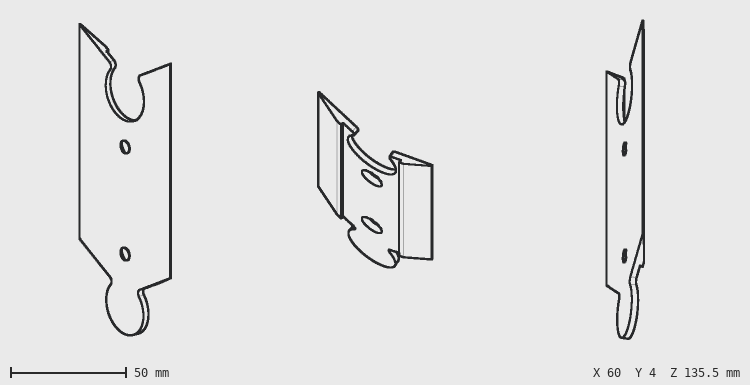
import cadquery as cq
import math

total_height = 135.5
width = 60.0
thickness = 4.0
end_slope = math.radians(30)
side_overshoot = 2.7

tab_radius = 12.3
socket_radius = 12.6
tab_back_radius = 12.5
tab_fillet = 2.2
socket_fillet = 2.3

edge_thickness = 0.5
bevel_width = 12.5
channel_width = 30.6
channel_floor = 2.8

hole_radius = 2.8
hole_spacing = 50.0
hole_land = 0.4
sink_angle = math.radians(90)

draft = math.degrees(math.atan((tab_back_radius - tab_radius) / channel_floor))
half_width = width / 2
end_rise = half_width * math.tan(end_slope)
lower_corner = 35.5
side_length = total_height - lower_corner
tab_center = tab_back_radius
socket_center = tab_center + side_length
hole_middle = tab_center + side_length / 2


def disc(radius, height):
    """Disc centred on X = 0 that spans the plate thickness."""
    return cq.Workplane("XZ").center(0, height).circle(radius).extrude(-thickness)


def make_hole(height):
    """Straight land at the front face, opening into a cone at the channel floor."""
    sink_depth = channel_floor - hole_land
    sink_radius = hole_radius + sink_depth * math.tan(sink_angle / 2)
    cone = cq.Solid.makeCone(
        hole_radius,
        sink_radius,
        sink_depth,
        pnt=cq.Vector(0, hole_land, height),
        dir=cq.Vector(0, 1, 0),
    )
    return disc(hole_radius, height).union(cq.Workplane(cone))


def round_neck(body, end_height, circle_height, circle_radius, fillet_radius):
    """Fillet both edges where a sloped end meets a circle."""
    offset = end_height - circle_height
    sine = math.sin(end_slope)
    cosine = math.cos(end_slope)
    gap = offset * cosine
    x = cosine * (math.sqrt(circle_radius**2 - gap**2) - offset * sine)
    z = end_height + x * math.tan(end_slope)
    for side in (-1, 1):
        nearest = cq.selectors.NearestToPointSelector((side * x, thickness / 2, z))
        body = body.edges("|Y").edges(nearest).fillet(fillet_radius)
    return body


def make_key(corner_height, circle_height, circle_radius, fillet_radius):
    """Tall V-ended block with a round tail, widening slightly towards the back."""
    apex = corner_height - end_rise
    outer_x = half_width + side_overshoot
    outer_z = corner_height + side_overshoot * math.tan(end_slope)
    block = (
        cq.Workplane("XZ")
        .moveTo(-outer_x, outer_z)
        .lineTo(0, apex)
        .lineTo(outer_x, outer_z)
        .lineTo(outer_x, outer_z + total_height)
        .lineTo(-outer_x, outer_z + total_height)
        .close()
        .extrude(-thickness)
    )
    block = block.union(disc(circle_radius, circle_height))
    block = round_neck(block, apex, circle_height, circle_radius, fillet_radius)
    outline = block.faces("<Y").wires().val()
    return cq.Workplane("XZ").add(outline).toPending().extrude(-thickness, taper=-draft)


def make_section():
    """Bevelled and channelled cross-section, extended over the whole height."""
    ridge = half_width - bevel_width
    channel = channel_width / 2
    return (
        cq.Workplane("XY")
        .moveTo(-half_width, 0)
        .lineTo(half_width, 0)
        .lineTo(half_width, edge_thickness)
        .lineTo(ridge, thickness)
        .lineTo(channel, thickness)
        .lineTo(channel, channel_floor)
        .lineTo(-channel, channel_floor)
        .lineTo(-channel, thickness)
        .lineTo(-ridge, thickness)
        .lineTo(-half_width, edge_thickness)
        .close()
        .extrude(total_height)
    )


plate = make_key(lower_corner, tab_center, tab_radius, tab_fillet)
socket = make_key(total_height, socket_center, socket_radius, socket_fillet)
result = plate.cut(socket).intersect(make_section())
for side in (-1, 1):
    result = result.cut(make_hole(hole_middle + side * hole_spacing / 2))